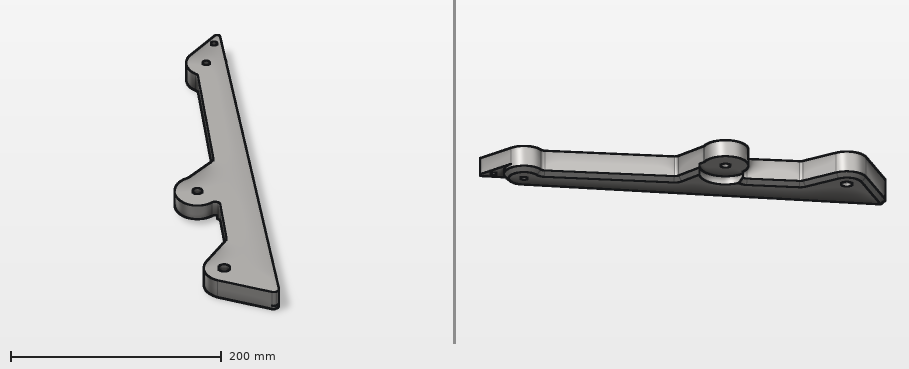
import cadquery as cq
import math

thickness = 25.2
step_height = 8.5
bottom_chamfer = 4.5

left_tip = (-3.5, 124.0)
right_tip = (386.0, 58.0)
left_inner_corner = (176.5, 60.0)
right_inner_corner = (292.7, 35.0)
lower_edge_slope = -0.2

left_lobe = (36.5, 98.2)
left_lobe_radius = 19.0
middle_lobe = (216.0, 31.0)
middle_lobe_radius = 21.8
middle_lobe_side_drop = 2.0
right_lobe = (333.0, 19.5)
right_lobe_radius = 19.5
recess_radius = 25.0

left_tip_radius = 3.0
right_tip_radius = 5.0
inner_radius = 5.0

holes = [
    ((11.5, 114.3), 6.0),
    (left_lobe, 7.0),
    (middle_lobe, 9.0),
    (right_lobe, 11.0),
]


def tangent_point(corner, center, radius, side):
    """Point where a line from corner touches a circle; side is +1 (counterclockwise) or -1."""
    dx = corner[0] - center[0]
    dy = corner[1] - center[1]
    angle = math.atan2(dy, dx) + side * math.acos(radius / math.hypot(dx, dy))
    return (center[0] + radius * math.cos(angle), center[1] + radius * math.sin(angle))


def on_lower_edge(corner, x):
    """Point at x on the lower bar edge that passes through corner."""
    return (x, corner[1] + lower_edge_slope * (x - corner[0]))


def circle_line_junction(center, radius, corner):
    """Right-hand crossing of a lobe circle with the lower bar edge through corner."""
    drop = on_lower_edge(corner, center[0])[1] - center[1]
    a = 1 + lower_edge_slope ** 2
    b = drop * lower_edge_slope
    dx = (-b + math.sqrt(b ** 2 - a * (drop ** 2 - radius ** 2))) / a
    return on_lower_edge(corner, center[0] + dx)


def middle_lobe_side():
    """Point on the left of the middle lobe where the sloping side of the bar ends."""
    dx = math.sqrt(middle_lobe_radius ** 2 - middle_lobe_side_drop ** 2)
    return (middle_lobe[0] - dx, middle_lobe[1] - middle_lobe_side_drop)


def disc(center, radius, height):
    return cq.Workplane("XY").center(*center).circle(radius).extrude(height)


def round_corner(body, point, radius):
    """Round the vertical edge that stands at the given plan position."""
    height = body.val().BoundingBox().zmax
    edge = cq.selectors.NearestToPointSelector((point[0], point[1], height / 2))
    return body.edges("|Z").edges(edge).fillet(radius)


def bar(left_end, height):
    """Bar with its three lobes; left_end lists the outline points that close it on the left."""
    outline = left_end + [
        right_tip,
        tangent_point(right_tip, right_lobe, right_lobe_radius, -1),
        right_lobe,
        tangent_point(right_inner_corner, right_lobe, right_lobe_radius, 1),
        right_inner_corner,
        on_lower_edge(right_inner_corner, middle_lobe[0]),
        middle_lobe,
        middle_lobe_side(),
        left_inner_corner,
        on_lower_edge(left_inner_corner, left_lobe[0]),
        left_lobe,
    ]
    body = cq.Workplane("XY").polyline(outline).close().extrude(height)
    body = body.union(disc(left_lobe, left_lobe_radius, height))
    body = body.union(disc(middle_lobe, middle_lobe_radius, height))
    body = body.union(disc(right_lobe, right_lobe_radius, height))
    body = round_corner(body, right_tip, right_tip_radius)
    inner_corners = [
        left_inner_corner,
        right_inner_corner,
        middle_lobe_side(),
        circle_line_junction(left_lobe, left_lobe_radius, left_inner_corner),
        circle_line_junction(middle_lobe, middle_lobe_radius, right_inner_corner),
    ]
    for corner in inner_corners:
        body = round_corner(body, corner, inner_radius)
    return body


tip_end = [tangent_point(left_tip, left_lobe, left_lobe_radius, 1), left_tip]
upper = bar(tip_end, thickness - step_height)
upper = round_corner(upper, left_tip, left_tip_radius)
upper = upper.translate((0, 0, step_height))

round_end = [tangent_point(right_tip, left_lobe, left_lobe_radius, 1)]
lower = bar(round_end, step_height)
lower = lower.faces("<Z").chamfer(bottom_chamfer)
lower = lower.cut(disc(middle_lobe, recess_radius, step_height))

result = upper.union(lower)
for center, diameter in holes:
    result = result.cut(disc(center, diameter / 2, thickness))